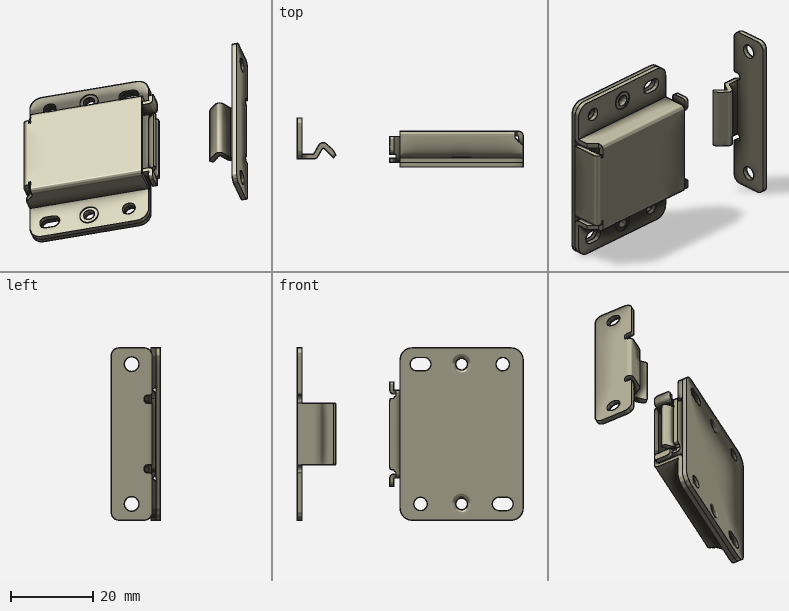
import cadquery as cq
import math


HEIGHT = 42.0
MID_Z = HEIGHT / 2
SHEET = 1.2
COVER_SHEET = 1.1
PICK_MARGIN = 0.1
HOLE_ROW = 17.0

COVER_LENGTH = 30.0
CORNER_R = 3.0
SCREW_D = 3.2
SLOT_LENGTH = 5.0
SCREW_X = 5.0
EYELET_X = COVER_LENGTH / 2
EYELET_BORE_R = 1.38
EYELET_OUTER_R = 2.3
EYELET_FLARE_R = 1.08
EYELET_PROUD = 0.2

FLANGE_Y = COVER_SHEET + SHEET
HOUSING_DEPTH = 8.78
HOUSING_HALF = 12.0
CHANNEL_HALF = HOUSING_HALF - SHEET
WEB_Y = HOUSING_DEPTH - SHEET
WALL_END = 28.0
WALL_CUT_Y = 7.2
LIP_HALF = 9.7
RELIEF = 0.5
RELIEF_DEPTH = 0.8

CLEARANCE = 0.1
CATCH_SHEET = 1.0
CATCH_Y = COVER_SHEET + CLEARANCE
CATCH_FLOOR_Y = CATCH_Y + CATCH_SHEET
CATCH_TOP = WEB_Y - CLEARANCE
CATCH_HALF = CHANNEL_HALF - CLEARANCE
CATCH_INNER_HALF = CATCH_HALF - CATCH_SHEET
CATCH_FRONT = -2.5
CATCH_NOTCH_X = -1.0
CATCH_BACK = 26.0
HOOK_Y = 3.15
HOOK_HALF = 12.7
HOOK_BEND_R = 1.0
HOOK_CORNER_R = 1.0
TONGUE_HALF = 8.7
NOTCH_R = 0.5

SPRING_SHEET = 1.0
SPRING_Y = 2.8
SPRING_HALF = 9.2
NOSE_HALF = 8.05
NOSE_ROOT_X = 0.0
NOSE_SLOPE = math.radians(135)
NOSE_X = -0.8
NOSE_LENGTH = 3.05
NOSE_R = 0.88
NOSE_BEND_R = 1.2
SHOULDER_X = -0.5
SHOULDER_R = 0.9

STRIKE_X = -25.0
STRIKE_Y = 2.0
STRIKE_WIDTH = 10.0
STRIKE_R = 2.0
STRIKE_HOLE_D = 3.5
STRIKE_TONGUE_HALF = 7.5
RELIEF_R = 1.0
RELIEF_MOUTH_R = 0.5
STRIKE_BEND_R = 1.19
APEX_X = -18.7
APEX_Y = 4.8
RISE_ANGLE = math.radians(60)
FALL_ANGLE = math.radians(45)
FALL_LENGTH = 3.55
TIP_SHEET = 0.85
THIN_START = 0.75
THIN_BULGE = 0.07
TIP_R = 0.5
APEX_R = 0.35


def box(x0, x1, y0, y1, z0, z1):
    return cq.Workplane("XY").box(x1 - x0, y1 - y0, z1 - z0, centered=False).translate((x0, y0, z0))


def centred_box(x0, x1, y0, y1, half):
    return box(x0, x1, y0, y1, MID_Z - half, MID_Z + half)


def y_plane(y):
    """Sketch plane facing -Y with local axes X and Z."""
    return cq.Workplane("XZ", origin=(0, y, 0))


def x_plane(x):
    """Sketch plane facing +X with local axes Y and Z."""
    return cq.Workplane("YZ", origin=(x, 0, 0))


def mirrored(shape):
    """A shape together with its mirror image about mid height."""
    return shape.union(shape.mirror("XY", (0, 0, MID_Z)))


def mounting_plate(y0, thickness):
    """Rounded plate with its four screw holes, shared by cover and housing flange."""
    plate = (
        y_plane(y0).center(COVER_LENGTH / 2, MID_Z).rect(COVER_LENGTH, HEIGHT).extrude(-thickness)
        .edges("|Y").fillet(CORNER_R)
    )
    left, right = SCREW_X, COVER_LENGTH - SCREW_X
    low, high = MID_Z - HOLE_ROW, MID_Z + HOLE_ROW
    rounds = y_plane(y0).pushPoints([(left, low), (right, high)]).circle(SCREW_D / 2).extrude(-thickness)
    slots = (
        y_plane(y0).pushPoints([(left, high), (right, low)])
        .slot2D(SLOT_LENGTH, SCREW_D).extrude(-thickness)
    )
    return plate.cut(rounds).cut(slots)


def eyelet_points(y):
    """Both eyelet centres on a plane at the given Y."""
    return y_plane(y).pushPoints([(EYELET_X, MID_Z - HOLE_ROW), (EYELET_X, MID_Z + HOLE_ROW)])


def make_cover():
    """Cover plate with eyelets that reach through the housing flange."""
    collar_length = FLANGE_Y + EYELET_PROUD
    collars = eyelet_points(0).circle(EYELET_OUTER_R).extrude(-collar_length)
    cover = mounting_plate(0, COVER_SHEET).union(collars)
    cover = cover.cut(eyelet_points(0).circle(EYELET_BORE_R).extrude(-collar_length))
    bore_half = EYELET_BORE_R + PICK_MARGIN
    mouths = cq.selectors.BoxSelector(
        (EYELET_X - bore_half, -PICK_MARGIN, 0), (EYELET_X + bore_half, PICK_MARGIN, HEIGHT)
    )
    return cover.edges("%CIRCLE").edges(mouths).fillet(EYELET_FLARE_R)


def make_housing():
    """Top-hat channel with a drilled flange and an end lip on its right side."""
    eyelet_holes = eyelet_points(COVER_SHEET).circle(EYELET_OUTER_R).extrude(-SHEET)
    flange = mounting_plate(COVER_SHEET, SHEET).cut(eyelet_holes)
    channel = centred_box(0, COVER_LENGTH, COVER_SHEET, HOUSING_DEPTH, HOUSING_HALF)
    channel = channel.edges("|X and >Y").fillet(SHEET)
    hollow = centred_box(0, COVER_LENGTH - SHEET, COVER_SHEET, WEB_Y, CHANNEL_HALF)
    bend = (
        x_plane(0).moveTo(COVER_SHEET, MID_Z + CHANNEL_HALF).lineTo(COVER_SHEET, MID_Z + HOUSING_HALF)
        .radiusArc((FLANGE_Y, MID_Z + CHANNEL_HALF), -SHEET).close().extrude(COVER_LENGTH)
    )
    lip_gap = box(WALL_END, COVER_LENGTH, COVER_SHEET, HOUSING_DEPTH, MID_Z + LIP_HALF, MID_Z + CHANNEL_HALF)
    corner = (
        cq.Workplane("XY").moveTo(WALL_END, HOUSING_DEPTH).lineTo(WALL_END, WALL_CUT_Y)
        .lineTo(COVER_LENGTH, WALL_CUT_Y - (COVER_LENGTH - WALL_END)).lineTo(COVER_LENGTH, HOUSING_DEPTH)
        .close().extrude(SHEET).translate((0, 0, MID_Z + CHANNEL_HALF))
    )
    relief = box(
        WALL_END, WALL_END + RELIEF, WEB_Y, HOUSING_DEPTH,
        MID_Z + LIP_HALF - RELIEF_DEPTH, MID_Z + HOUSING_HALF,
    )
    lip_round = (
        cq.Workplane("XY").moveTo(COVER_LENGTH - SHEET, HOUSING_DEPTH).lineTo(COVER_LENGTH, HOUSING_DEPTH)
        .lineTo(COVER_LENGTH, WEB_Y).radiusArc((COVER_LENGTH - SHEET, HOUSING_DEPTH), -SHEET)
        .close().extrude(HEIGHT)
    )
    housing = flange.union(channel).cut(hollow).cut(mirrored(bend))
    for cutter in (mirrored(lip_gap), mirrored(corner), mirrored(relief), lip_round):
        housing = housing.cut(cutter)
    return housing


def catch_side():
    """Upper side wall of the catch with its outward hook."""
    outer_z, inner_z = MID_Z + CATCH_HALF, MID_Z + CATCH_INNER_HALF
    wall = box(CATCH_NOTCH_X, CATCH_BACK, CATCH_Y, CATCH_TOP, inner_z, outer_z)
    foot = box(CATCH_FRONT, CATCH_NOTCH_X, HOOK_Y, CATCH_TOP, inner_z, outer_z)
    hook = box(CATCH_FRONT, CATCH_FRONT + CATCH_SHEET, HOOK_Y, CATCH_TOP, inner_z, MID_Z + HOOK_HALF)
    hook = hook.edges("|X and >Z").fillet(HOOK_CORNER_R)
    side = wall.union(foot).union(hook)
    return side.edges("|Y and <X and <Z").fillet(HOOK_BEND_R)


def make_catch():
    """U-shaped catch with a central tongue between two hooks."""
    floor = centred_box(CATCH_NOTCH_X, CATCH_BACK, CATCH_Y, CATCH_FLOOR_Y, CATCH_INNER_HALF)
    tongue = centred_box(CATCH_FRONT, CATCH_NOTCH_X, CATCH_Y, CATCH_FLOOR_Y, TONGUE_HALF)
    tongue = tongue.edges("|Y and <X").fillet(NOTCH_R)
    notch_corner = (
        y_plane(CATCH_Y).moveTo(CATCH_NOTCH_X, MID_Z + TONGUE_HALF)
        .lineTo(CATCH_NOTCH_X, MID_Z + TONGUE_HALF + NOTCH_R)
        .radiusArc((CATCH_NOTCH_X - NOTCH_R, MID_Z + TONGUE_HALF), -NOTCH_R).close()
        .extrude(-CATCH_SHEET)
    )
    catch = floor.union(tongue).union(mirrored(notch_corner)).union(mirrored(catch_side()))
    outer_bends = cq.selectors.BoxSelector(
        (CATCH_NOTCH_X, CATCH_Y - PICK_MARGIN, 0), (CATCH_BACK, CATCH_Y + PICK_MARGIN, HEIGHT)
    )
    return catch.edges("|X").edges(outer_bends).edges("<Z or >Z").fillet(CATCH_SHEET)


def make_spring():
    """Flat spring inside the catch, with a sloped nose between two rounded shoulders."""
    plate = centred_box(SHOULDER_X, CATCH_BACK, SPRING_Y, SPRING_Y + SPRING_SHEET, SPRING_HALF)
    plate = plate.edges("|Z and <X and <Y").fillet(SHOULDER_R)
    plate = plate.cut(centred_box(SHOULDER_X, NOSE_ROOT_X, SPRING_Y, SPRING_Y + SPRING_SHEET, NOSE_HALF))
    along = (math.cos(NOSE_SLOPE), math.sin(NOSE_SLOPE))
    inward = (along[1], -along[0])
    tip_x = NOSE_X + NOSE_LENGTH * along[0]
    tip_y = SPRING_Y + NOSE_LENGTH * along[1]
    inner_corner_x = NOSE_X + SPRING_SHEET * math.tan(math.pi / 2 - NOSE_SLOPE / 2)
    nose = (
        cq.Workplane("XY").moveTo(NOSE_ROOT_X, SPRING_Y).lineTo(NOSE_X, SPRING_Y).lineTo(tip_x, tip_y)
        .lineTo(tip_x + SPRING_SHEET * inward[0], tip_y + SPRING_SHEET * inward[1])
        .lineTo(inner_corner_x, SPRING_Y + SPRING_SHEET).lineTo(NOSE_ROOT_X, SPRING_Y + SPRING_SHEET)
        .close().extrude(2 * NOSE_HALF).translate((0, 0, MID_Z - NOSE_HALF))
    )
    tip_corner = cq.selectors.NearestToPointSelector((tip_x, tip_y, MID_Z))
    bend_corner = cq.selectors.NearestToPointSelector((NOSE_X, SPRING_Y, MID_Z))
    nose = nose.edges("|Z").edges(tip_corner).fillet(NOSE_R)
    nose = nose.edges("|Z").edges(bend_corner).fillet(NOSE_BEND_R)
    return plate.union(nose)


def hump_profile():
    """Section of the strike's bent tongue, from its plate to the free tip."""
    rise = (math.cos(RISE_ANGLE), math.sin(RISE_ANGLE))
    fall = (math.cos(FALL_ANGLE), -math.sin(FALL_ANGLE))
    rise_normal = (-rise[1], rise[0])
    fall_normal = (-fall[1], fall[0])

    def on_fall(distance, offset):
        return (
            APEX_X + distance * fall[0] + offset * fall_normal[0],
            APEX_Y + distance * fall[1] + offset * fall_normal[1],
        )

    flange_top = STRIKE_Y + SHEET
    foot_x = APEX_X - (APEX_Y - STRIKE_Y) / math.tan(RISE_ANGLE)
    outer_x = foot_x - SHEET * math.tan(RISE_ANGLE / 2)
    bend_start = (outer_x, STRIKE_Y)
    bend_end = (outer_x - SHEET * rise_normal[0], flange_top - SHEET * rise_normal[1])
    crest_start = (APEX_X + SHEET * rise_normal[0], APEX_Y + SHEET * rise_normal[1])
    middle = (THIN_START + FALL_LENGTH) / 2
    return (
        cq.Workplane("XY").moveTo(STRIKE_X, STRIKE_Y).lineTo(*bend_start)
        .radiusArc(bend_end, -SHEET).lineTo(APEX_X, APEX_Y).lineTo(*on_fall(FALL_LENGTH, 0))
        .lineTo(*on_fall(FALL_LENGTH, TIP_SHEET))
        .threePointArc(on_fall(middle, SHEET + THIN_BULGE), on_fall(THIN_START, SHEET))
        .lineTo(*on_fall(0, SHEET))
        .threePointArc((APEX_X, APEX_Y + SHEET), crest_start)
        .lineTo(outer_x, flange_top).lineTo(STRIKE_X, flange_top).close()
    )


def strike_relief():
    """Upper bend relief with a round end and a rounded outer mouth corner."""
    low = MID_Z + STRIKE_TONGUE_HALF
    high = low + 2 * RELIEF_R
    centre_y = STRIKE_Y + STRIKE_R - RELIEF_R
    return (
        x_plane(STRIKE_X).moveTo(STRIKE_Y, low).lineTo(centre_y, low)
        .threePointArc((centre_y + RELIEF_R, low + RELIEF_R), (centre_y, high))
        .lineTo(STRIKE_Y + RELIEF_MOUTH_R, high)
        .radiusArc((STRIKE_Y, high + RELIEF_MOUTH_R), RELIEF_MOUTH_R).close().extrude(SHEET)
    )


def make_strike():
    """Screw-on strike plate with a humped tongue bent from one edge."""
    hole_y = STRIKE_Y + STRIKE_WIDTH / 2
    plate = (
        x_plane(STRIKE_X).center(hole_y, MID_Z).rect(STRIKE_WIDTH, HEIGHT).extrude(SHEET)
        .edges("|X").fillet(STRIKE_R)
    )
    holes = (
        x_plane(STRIKE_X).pushPoints([(hole_y, MID_Z - HOLE_ROW), (hole_y, MID_Z + HOLE_ROW)])
        .circle(STRIKE_HOLE_D / 2).extrude(SHEET)
    )
    tongue = hump_profile().extrude(2 * STRIKE_TONGUE_HALF).translate((0, 0, MID_Z - STRIKE_TONGUE_HALF))
    fall = cq.Vector(math.cos(FALL_ANGLE), -math.sin(FALL_ANGLE), 0)
    tip_face = tongue.faces(cq.selectors.DirectionMinMaxSelector(fall))
    tongue = tip_face.edges("#Z").fillet(TIP_R)
    apex = cq.selectors.NearestToPointSelector((APEX_X, APEX_Y, MID_Z))
    tongue = tongue.edges("|Z").edges(apex).fillet(APEX_R)
    strike = plate.cut(holes).cut(mirrored(strike_relief())).union(tongue)
    bend_edge = cq.selectors.NearestToPointSelector((STRIKE_X, STRIKE_Y, MID_Z))
    return strike.edges("|Z").edges(bend_edge).fillet(STRIKE_BEND_R)


strike = make_strike()
cover = make_cover()
housing = make_housing()
catch = make_catch()
spring = make_spring()

result = cq.Compound.makeCompound(
    [strike.val(), cover.val(), housing.val(), catch.val(), spring.val()]
)